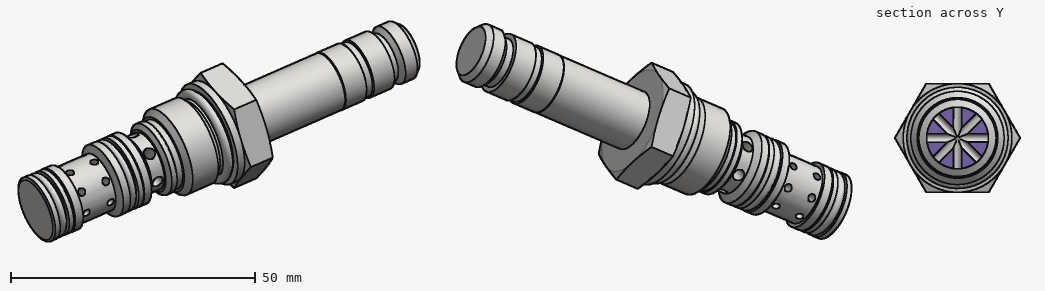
import cadquery as cq
import math

LENGTH = 89.8

NOSE_LAND_D = 14.3
NOSE_SEAL_D = 14.2
NOSE_TIP_D = 13.2
MID_LAND_D = 15.9
MID_SEAL_D = 15.8
VENT_GROOVE_D = 12.1
SLEEVE_D = 12.7
SHOULDER_D = 19.1
SHOULDER_TIP_D = 16.5
RELIEF_D = 15.4
RELIEF_TIP_D = 15.2
RING_GROOVE_D = 16.8
TUBE_D = 12.75
HEX_FLATS = 22.3
HEX_CORNERS = HEX_FLATS / math.cos(math.pi / 6)

NOSE_CHAMFER = 0.3
NOSE_BEAD_START = 1.4
NOSE_BEAD_END = 3.5
NOSE_BACKUP_START = 3.7
NOSE_BACKUP_END = 4.8
NOSE_LAND_START = 5.1
NOSE_LAND_END = 7.0

MID_START = 15.4
MID_LAND_START = 16.25
MID_BEAD_START = 17.95
MID_BEAD_END = 19.8
MID_BACKUP_START = 20.0
MID_BACKUP_END = 21.2
MID_UPPER_START = 21.4
MID_UPPER_END = 23.1
MID_END = 24.15

NOSE_FOOT_D = NOSE_SEAL_D - (NOSE_BEAD_END - NOSE_BEAD_START)
MID_FOOT_D = MID_SEAL_D - (MID_BEAD_END - MID_BEAD_START)

RELIEF_LAND_START = 27.2
RELIEF_LAND_TIP_D = 13.7
RELIEF_LAND_EDGE = 28.0
RELIEF_START = 29.3
SHOULDER_TIP = 30.8
SHOULDER_START = 32.0
SHOULDER_END = 38.2
RING_GROOVE_START = SHOULDER_END + (SHOULDER_D - RING_GROOVE_D) / 2
RING_GROOVE_END = 41.7
COLLAR_START = 41.9
HEX_START = 43.6
HEX_END = 49.8
TUBE_END = 71.0

HEX_CHAMFER_SLOPE = math.radians(14)

NOSE_PORT_D = 1.6
NOSE_PORT_COUNT = 8
NOSE_PORT_STATIONS = (8.35, 14.2)
SIDE_PORT_D = 2.4
SIDE_PORT_COUNT = 6
SIDE_PORT_STATION = 25.6

RING_D = 20.7
RING_SECTION_D = (RING_D - RING_GROOVE_D) / 2
RING_STATION = 40.7

STOP_D = 12.8
STOP_NECK_D = 10.7
STOP_EDGE_D = 12.7
STOP_EDGE = 0.2
STOP_GROOVE_D = 12.1
STOP_GROOVE_START = 76.2
STOP_GROOVE_END = 78.0
STOP_NECK_START = 82.9
STOP_NECK_END = 84.55
STOP_HEAD_CHAMFER = (STOP_D - STOP_NECK_D) / 2
STOP_CAP_START = 88.5


def revolve_about_axis(outline):
    return outline.close().revolve(360, (0, 0, 0), (0, 1, 0))


def add_steps(outline, steps):
    """Continue an outline through (diameter, station) pairs."""
    for diameter, station in steps:
        outline = outline.lineTo(diameter / 2, station)
    return outline


def add_bead(outline, diameter, start, end):
    """Continue an outline with a half-round seal bead that spans from start to end."""
    bead_radius = (end - start) / 2
    foot_radius = diameter / 2 - bead_radius
    return (
        outline.lineTo(foot_radius, start)
        .threePointArc((diameter / 2, start + bead_radius), (foot_radius, end))
    )


def make_turned_cartridge():
    outline = cq.Workplane("XY").moveTo(0, 0)
    outline = add_steps(outline, [
        (NOSE_TIP_D, 0),
        (NOSE_LAND_D, NOSE_CHAMFER),
        (NOSE_LAND_D, NOSE_BEAD_START),
    ])
    outline = add_bead(outline, NOSE_SEAL_D, NOSE_BEAD_START, NOSE_BEAD_END)
    outline = add_steps(outline, [
        (NOSE_FOOT_D, NOSE_BACKUP_START),
        (NOSE_SEAL_D, NOSE_BACKUP_START),
        (NOSE_SEAL_D, NOSE_BACKUP_END),
        (VENT_GROOVE_D, NOSE_BACKUP_END),
        (VENT_GROOVE_D, NOSE_LAND_START),
        (NOSE_LAND_D, NOSE_LAND_START),
        (NOSE_LAND_D, NOSE_LAND_END),
        (SLEEVE_D, NOSE_LAND_END),
        (SLEEVE_D, MID_START),
        (MID_LAND_D, MID_LAND_START),
        (MID_LAND_D, MID_BEAD_START),
    ])
    outline = add_bead(outline, MID_SEAL_D, MID_BEAD_START, MID_BEAD_END)
    outline = add_steps(outline, [
        (MID_FOOT_D, MID_BACKUP_START),
        (MID_SEAL_D, MID_BACKUP_START),
        (MID_SEAL_D, MID_BACKUP_END),
        (VENT_GROOVE_D, MID_BACKUP_END),
        (VENT_GROOVE_D, MID_UPPER_START),
        (MID_LAND_D, MID_UPPER_START),
        (MID_LAND_D, MID_UPPER_END),
        (SLEEVE_D, MID_END),
        (SLEEVE_D, RELIEF_LAND_START),
        (RELIEF_LAND_TIP_D, RELIEF_LAND_START),
        (MID_LAND_D, RELIEF_LAND_EDGE),
        (MID_LAND_D, RELIEF_START),
        (RELIEF_TIP_D, RELIEF_START),
        (RELIEF_D, SHOULDER_TIP),
        (SHOULDER_TIP_D, SHOULDER_TIP),
        (SHOULDER_D, SHOULDER_START),
        (SHOULDER_D, SHOULDER_END),
        (RING_GROOVE_D, RING_GROOVE_START),
        (RING_GROOVE_D, RING_GROOVE_END),
        (SHOULDER_D, RING_GROOVE_END),
        (SHOULDER_D, COLLAR_START),
        (HEX_FLATS, COLLAR_START),
        (HEX_FLATS, HEX_START),
        (TUBE_D, HEX_START),
        (TUBE_D, TUBE_END),
        (0, TUBE_END),
    ])
    return revolve_about_axis(outline)


def make_hex():
    prism = (
        cq.Workplane("XZ", origin=(0, HEX_START, 0))
        .polygon(6, HEX_CORNERS)
        .extrude(HEX_START - HEX_END)
    )
    rise = (HEX_CORNERS - HEX_FLATS) / 2 * math.tan(HEX_CHAMFER_SLOPE)
    envelope = add_steps(cq.Workplane("XY").moveTo(0, HEX_START), [
        (HEX_FLATS, HEX_START),
        (HEX_CORNERS, HEX_START + rise),
        (HEX_CORNERS, HEX_END - rise),
        (HEX_FLATS, HEX_END),
        (0, HEX_END),
    ])
    return prism.intersect(revolve_about_axis(envelope))


def make_ports(diameter, count, station):
    """Drills right through the axis; each one makes two opposite ports."""
    drill_length = 2 * MID_LAND_D
    drills = cq.Workplane("XY")
    for index in range(count // 2):
        drill = (
            cq.Workplane("YZ", origin=(-drill_length / 2, station, 0))
            .circle(diameter / 2)
            .extrude(drill_length)
            .rotate((0, 0, 0), (0, 1, 0), index * 360 / count)
        )
        drills = drills.union(drill)
    return drills


def make_cartridge():
    body = make_turned_cartridge().union(make_hex())
    for station in NOSE_PORT_STATIONS:
        body = body.cut(make_ports(NOSE_PORT_D, NOSE_PORT_COUNT, station))
    return body.cut(make_ports(SIDE_PORT_D, SIDE_PORT_COUNT, SIDE_PORT_STATION))


def make_o_ring():
    center_radius = (RING_D - RING_SECTION_D) / 2
    section = cq.Workplane("XY").moveTo(center_radius, RING_STATION).circle(RING_SECTION_D / 2)
    return section.revolve(360, (0, 0, 0), (0, 1, 0))


def make_end_stop():
    outline = add_steps(cq.Workplane("XY").moveTo(0, TUBE_END), [
        (STOP_EDGE_D, TUBE_END),
        (STOP_D, TUBE_END + STOP_EDGE),
        (STOP_D, STOP_GROOVE_START),
        (STOP_GROOVE_D, STOP_GROOVE_START + STOP_EDGE),
        (STOP_GROOVE_D, STOP_GROOVE_END - STOP_EDGE),
        (STOP_D, STOP_GROOVE_END),
        (STOP_D, STOP_NECK_START),
        (STOP_NECK_D, STOP_NECK_START),
        (STOP_NECK_D, STOP_NECK_END),
        (STOP_D, STOP_NECK_END + STOP_HEAD_CHAMFER),
        (STOP_D, STOP_CAP_START),
        (STOP_NECK_D, LENGTH),
        (0, LENGTH),
    ])
    return revolve_about_axis(outline)


cartridge = make_cartridge()
o_ring = make_o_ring()
end_stop = make_end_stop()
result = cq.Compound.makeCompound([cartridge.val(), o_ring.val(), end_stop.val()])